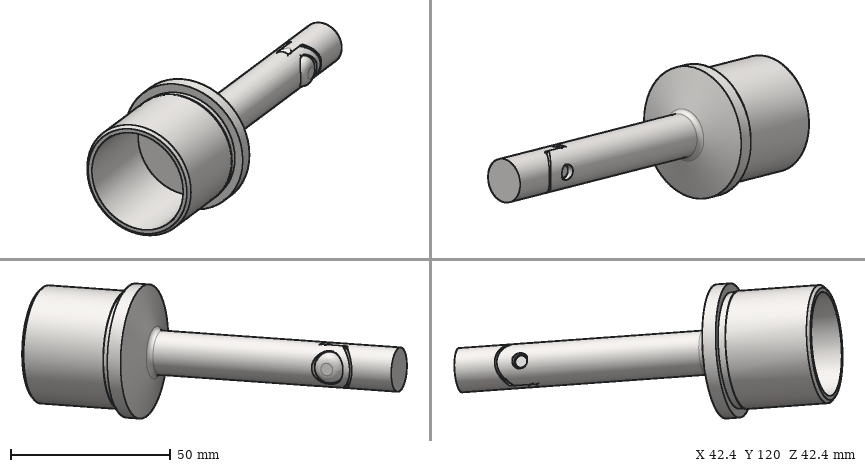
import cadquery as cq
import math

TOTAL_LENGTH = 120.0

SPIGOT_DIAMETER = 37.3
SPIGOT_LENGTH = 27.6
SPIGOT_CHAMFER = 1.0
BORE_DIAMETER = 32.8
NECK_DIAMETER = 36.7
NECK_LENGTH = 2.4
FLANGE_DIAMETER = 42.4
FLANGE_THICKNESS = 4.5
CONE_RISE = 4.1
STEM_FILLET = 1.8

TUBE_DIAMETER = 14.0
PIVOT_TO_TIP_END = 21.5
FORK_END_CLEARANCE = 0.7
FORK_END_OVERSIZE = 0.5
TONGUE_END_CLEARANCE = 1.0
TONGUE_WIDTH = 4.0

HEAD_DIAMETER = 10.0
HEAD_FILLET = 3.0
HEAD_TOP_X = 7.7
HEAD_SEAT_X = 4.0
HEAD_RECESS_DIAMETER = 10.5
SHOULDER_DIAMETER = 6.5
SHOULDER_HOLE_DIAMETER = 6.6
THREAD_DIAMETER = 4.8
THREAD_HOLE_DIAMETER = 5.0
THREAD_END_X = -5.4
THREAD_CHAMFER = 0.5

TUBE_RADIUS = TUBE_DIAMETER / 2
FORK_END_RADIUS = TUBE_RADIUS + FORK_END_OVERSIZE
SHOULDER_RADIUS = FORK_END_RADIUS + FORK_END_CLEARANCE
SLOT_FLOOR_RADIUS = TUBE_RADIUS + TONGUE_END_CLEARANCE
FLANGE_START = SPIGOT_LENGTH + NECK_LENGTH
FLANGE_END = FLANGE_START + FLANGE_THICKNESS
CONE_END = FLANGE_END + CONE_RISE
PIVOT_Y = TOTAL_LENGTH - PIVOT_TO_TIP_END
FORK_SIDE_X = TONGUE_WIDTH / 2
CUTTER_SPAN = 2 * TUBE_DIAMETER


def cylinder_x(diameter, start_x, end_x):
    """Cylinder on the pivot axis."""
    return (
        cq.Workplane("YZ", origin=(start_x, PIVOT_Y, 0))
        .circle(diameter / 2)
        .extrude(end_x - start_x)
    )


def pivot_disc(radius, width):
    """Disc on the pivot axis, centred across the tube."""
    return cylinder_x(2 * radius, -width / 2, width / 2)


def block_y(width, start_y, end_y):
    """Block across the full height of the tube, centred on X = 0."""
    return cq.Workplane("XY").box(width, end_y - start_y, CUTTER_SPAN).translate(
        (0, (start_y + end_y) / 2, 0)
    )


def tube_rod(start_y, end_y):
    """Round bar of the tube diameter along Y."""
    return (
        cq.Workplane("XZ", origin=(0, start_y, 0))
        .circle(TUBE_RADIUS)
        .extrude(start_y - end_y)
    )


def tongue_slab(end_radius):
    """Slab of the tongue's width, rounded about the pivot and running on to the end of the tip."""
    return pivot_disc(end_radius, TONGUE_WIDTH).union(block_y(TONGUE_WIDTH, PIVOT_Y, TOTAL_LENGTH))


def turned_base():
    """Spigot, neck, flange, cone and stem as one turned shape, bored from the spigot end."""
    cone_slope = math.atan2(CONE_RISE, FLANGE_DIAMETER / 2 - TUBE_RADIUS)
    half_sweep = (math.pi / 2 - cone_slope) / 2
    tangent_length = STEM_FILLET * math.tan(half_sweep)
    fillet_start = (
        TUBE_RADIUS + tangent_length * math.cos(cone_slope),
        CONE_END - tangent_length * math.sin(cone_slope),
    )
    fillet_end = (TUBE_RADIUS, CONE_END + tangent_length)
    fillet_middle = (
        TUBE_RADIUS + STEM_FILLET * (1 - math.cos(half_sweep)),
        fillet_end[1] - STEM_FILLET * math.sin(half_sweep),
    )
    fork_tip = PIVOT_Y + FORK_END_RADIUS
    return (
        cq.Workplane("XY")
        .moveTo(BORE_DIAMETER / 2, 0)
        .lineTo(SPIGOT_DIAMETER / 2 - SPIGOT_CHAMFER, 0)
        .lineTo(SPIGOT_DIAMETER / 2, SPIGOT_CHAMFER)
        .lineTo(SPIGOT_DIAMETER / 2, SPIGOT_LENGTH)
        .lineTo(NECK_DIAMETER / 2, SPIGOT_LENGTH)
        .lineTo(NECK_DIAMETER / 2, FLANGE_START)
        .lineTo(FLANGE_DIAMETER / 2, FLANGE_START)
        .lineTo(FLANGE_DIAMETER / 2, FLANGE_END)
        .lineTo(*fillet_start)
        .threePointArc(fillet_middle, fillet_end)
        .lineTo(TUBE_RADIUS, fork_tip)
        .lineTo(0, fork_tip)
        .lineTo(0, FLANGE_START)
        .lineTo(BORE_DIAMETER / 2, FLANGE_START)
        .close()
        .revolve(360, (0, 0, 0), (0, 1, 0))
    )


def make_base():
    """Base whose stem ends in a rounded fork."""
    rounding_waste = block_y(CUTTER_SPAN, PIVOT_Y, TOTAL_LENGTH).cut(
        pivot_disc(FORK_END_RADIUS, CUTTER_SPAN)
    )
    return (
        turned_base()
        .cut(rounding_waste)
        .cut(tongue_slab(SLOT_FLOOR_RADIUS))
        .cut(cylinder_x(HEAD_RECESS_DIAMETER, HEAD_SEAT_X, TUBE_DIAMETER))
        .cut(cylinder_x(SHOULDER_HOLE_DIAMETER, 0, HEAD_SEAT_X))
        .cut(cylinder_x(THREAD_HOLE_DIAMETER, -TUBE_DIAMETER, 0))
    )


def make_tip():
    """Round tip with a hollow shoulder around the fork and a rounded tongue in its slot."""
    fork_space = (
        pivot_disc(SHOULDER_RADIUS, CUTTER_SPAN)
        .union(block_y(CUTTER_SPAN, PIVOT_Y - TUBE_DIAMETER, PIVOT_Y))
        .cut(tongue_slab(TUBE_RADIUS))
    )
    return (
        tube_rod(PIVOT_Y - TUBE_RADIUS, TOTAL_LENGTH)
        .cut(fork_space)
        .cut(pivot_disc(SHOULDER_HOLE_DIAMETER / 2, TONGUE_WIDTH))
    )


def make_screw():
    """Shoulder screw with a rounded head."""
    head = cylinder_x(HEAD_DIAMETER, HEAD_SEAT_X, HEAD_TOP_X).faces(">X").edges().fillet(HEAD_FILLET)
    shoulder = cylinder_x(SHOULDER_DIAMETER, -FORK_SIDE_X, HEAD_SEAT_X)
    thread = (
        cylinder_x(THREAD_DIAMETER, THREAD_END_X, -FORK_SIDE_X)
        .faces("<X")
        .chamfer(THREAD_CHAMFER)
    )
    return head.union(shoulder).union(thread)


base = make_base().solids()
tip = make_tip().solids()
screw = make_screw().solids()

result = cq.Compound.makeCompound([base.val(), tip.val(), screw.val()])